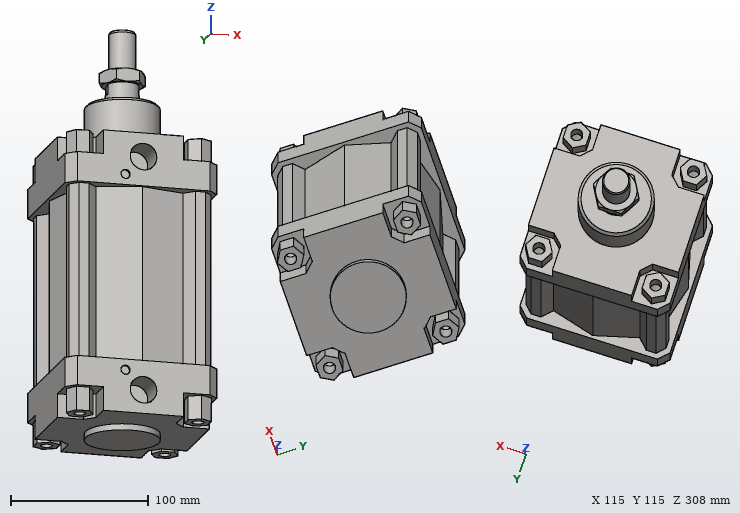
import cadquery as cq
import math


total_height = 308.0
pilot_height = 4.5
cap_height = 40.0
tube_length = 132.0
boss_height = 35.5
collar_height = 15.5
nut_height = 10.0

lower_cap_bottom = pilot_height
lower_cap_top = lower_cap_bottom + cap_height
upper_cap_bottom = lower_cap_top + tube_length
upper_cap_top = upper_cap_bottom + cap_height
boss_top = upper_cap_top + boss_height
collar_top = boss_top + collar_height

cap_width = 115.0
cap_corner_chamfer = 7.5
recess_size = 27.0
recess_depth = 18.0
recess_chamfer = 7.5

boss_diameter = 55.5
boss_chamfer = 2.2

tie_offset = 44.7
tie_across_flats = 17.5
tie_hole_diameter = 8.5
tie_hole_depth = 15.5
drill_point_angle = 118.0

port_diameter = 20.0
port_depth = 24.5
screw_hole_diameter = 6.8
screw_hole_depth = 2.0
screw_hole_x = -13.5
screw_hole_inset = 8.0

ridge_radius = 55.0
rib_face = 53.5
rib_inner = 40.5
rib_corner_chamfer = 6.0
rib_step = 7.5

rod_diameter = 20.0
rod_chamfer = 2.0
rod_tip_chamfer_width = 1.0
collar_diameter = 25.0
wrench_flat_distance = 22.8
wrench_flat_height = 7.5
rod_turn = -7.0

nut_across_flats = 30.2
nut_chamfer_angle = 30.0


def across_corners(across_flats):
    return across_flats / math.cos(math.radians(30))


def cylinder(diameter, bottom, top):
    return cq.Workplane("XY").workplane(offset=bottom).circle(diameter / 2).extrude(top - bottom)


def chamfered_block(size, height, chamfer, edges="|Z"):
    block = cq.Workplane("XY").box(size, size, height, centered=(True, True, False))
    return block.edges(edges).chamfer(chamfer)


def tie_end():
    """Hexagonal tie-rod end with a blind drilled hole, standing on Z = 0."""
    hexagon = cq.Workplane("XY").polygon(6, across_corners(tie_across_flats)).extrude(recess_depth)
    radius = tie_hole_diameter / 2
    floor = recess_depth - tie_hole_depth
    tip = floor - radius / math.tan(math.radians(drill_point_angle / 2))
    drill = (
        cq.Workplane("XZ")
        .moveTo(0, tip)
        .lineTo(radius, floor)
        .lineTo(radius, recess_depth)
        .lineTo(0, recess_depth)
        .close()
        .revolve(360, (0, 0, 0), (0, 1, 0))
    )
    return hexagon, drill


def end_cap():
    """Cap standing on Z = 0 with its recessed corners and tie-rod ends at the top."""
    cap = chamfered_block(cap_width, cap_height, cap_corner_chamfer)
    recess_floor = cap_height - recess_depth
    corner = (cap_width - recess_size) / 2
    recess = chamfered_block(recess_size, recess_depth, recess_chamfer, "|Z and <X and <Y")
    recess = recess.translate((corner, corner, recess_floor))
    hexagon, drill = tie_end()
    tie_place = (tie_offset, tie_offset, recess_floor)
    for quarter in range(4):
        angle = 90 * quarter
        cap = cap.cut(recess.rotate((0, 0, 0), (0, 0, 1), angle))
        cap = cap.union(hexagon.translate(tie_place).rotate((0, 0, 0), (0, 0, 1), angle))
        cap = cap.cut(drill.translate(tie_place).rotate((0, 0, 0), (0, 0, 1), angle))

    front_face = cq.Workplane("XZ", origin=(0, -cap_width / 2, 0))
    port = front_face.center(0, recess_floor).circle(port_diameter / 2).extrude(-port_depth)
    screw_hole = (
        front_face.center(screw_hole_x, screw_hole_inset)
        .circle(screw_hole_diameter / 2)
        .extrude(-screw_hole_depth)
    )
    return cap.cut(port).cut(screw_hole)


def tube():
    """Profile with four corner ribs and a shallow ridge along the middle of each side."""
    rib_outer = rib_face - rib_corner_chamfer
    quarter_outline = [
        (ridge_radius, 0),
        (rib_face - rib_step, rib_inner - rib_step),
        (rib_face, rib_inner),
        (rib_face, rib_outer),
        (rib_outer, rib_face),
        (rib_inner, rib_face),
        (rib_inner - rib_step, rib_face - rib_step),
    ]
    outline = []
    for quarter in range(4):
        for x, y in quarter_outline:
            outline.append((x, y))
        quarter_outline = [(-y, x) for x, y in quarter_outline]
    return cq.Workplane("XY").workplane(offset=lower_cap_top).polyline(outline).close().extrude(tube_length)


def build_housing():
    cap = end_cap()
    upper_cap = cap.translate((0, 0, upper_cap_bottom))
    lower_cap = cap.mirror("XY").translate((0, 0, lower_cap_top))
    pilot = cylinder(boss_diameter, 0, lower_cap_bottom)
    boss = cylinder(boss_diameter, upper_cap_top, boss_top).faces(">Z").edges().chamfer(boss_chamfer)
    return tube().union(lower_cap).union(upper_cap).union(pilot).union(boss)


def build_rod():
    """Rod with a collar that has two wrench flats just below the lock nut."""
    collar = cylinder(collar_diameter, boss_top, collar_top)
    flat_band = (
        cq.Workplane("XY")
        .workplane(offset=collar_top - wrench_flat_height)
        .rect(2 * collar_diameter, 2 * collar_diameter)
        .rect(wrench_flat_distance, 2 * collar_diameter)
        .extrude(wrench_flat_height)
    )
    shank = cylinder(rod_diameter, collar_top, total_height)
    shank = shank.faces(">Z").edges().chamfer(rod_chamfer, rod_tip_chamfer_width)
    return collar.cut(flat_band).union(shank).rotate((0, 0, 0), (0, 0, 1), rod_turn)


def build_lock_nut():
    """Hexagon nut whose corners are turned off by a cone at both ends."""
    corner_radius = across_corners(nut_across_flats) / 2
    face_radius = nut_across_flats / 2
    drop = (corner_radius - face_radius) * math.tan(math.radians(nut_chamfer_angle))
    hexagon = cq.Workplane("XY").polygon(6, 2 * corner_radius).extrude(nut_height)
    turned = (
        cq.Workplane("XZ")
        .polyline([
            (0, 0),
            (face_radius, 0),
            (corner_radius, drop),
            (corner_radius, nut_height - drop),
            (face_radius, nut_height),
            (0, nut_height),
        ])
        .close()
        .revolve(360, (0, 0, 0), (0, 1, 0))
    )
    nut = hexagon.intersect(turned).translate((0, 0, collar_top))
    return nut.cut(cylinder(rod_diameter, collar_top, collar_top + nut_height))


housing = build_housing()
rod = build_rod()
lock_nut = build_lock_nut()

result = cq.Compound.makeCompound([housing.val(), rod.val(), lock_nut.val()])